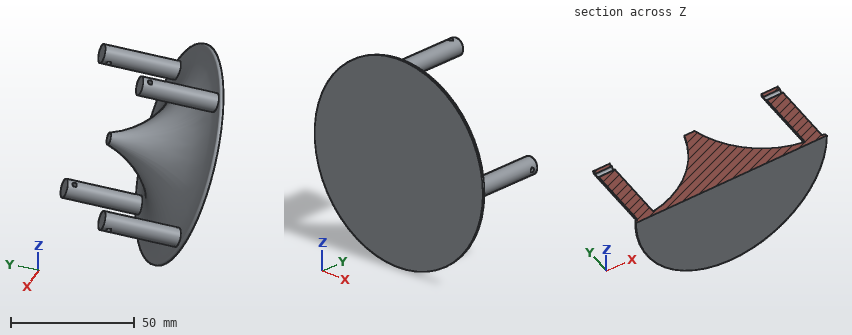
import cadquery as cq
import math

DISC_DIAMETER = 92.0
DISC_THICKNESS = 1.5
RIM_FILLET_RADIUS = 0.75

POST_DIAMETER = 8.0
POST_LENGTH = 33.0
POST_CIRCLE_RADIUS = 40.5
POST_COUNT = 4

CROSS_HOLE_DIAMETER = 2.0
CROSS_HOLE_END_DISTANCE = 3.0

HORN_HEIGHT = 30.0
HORN_TIP_DIAMETER = 5.0
HORN_BASE_RADIUS = 43.0


def make_disc():
    """Round plate with its inner face on Y = 0 and its inner rim rounded."""
    plate = cq.Workplane("XZ").circle(DISC_DIAMETER / 2).extrude(DISC_THICKNESS)
    return plate.faces(">Y").edges().fillet(RIM_FILLET_RADIUS)


def make_horn():
    """Solid of revolution about Y that narrows from the disc to a flat tip."""
    tip_radius = HORN_TIP_DIAMETER / 2
    radial_run = HORN_BASE_RADIUS - tip_radius
    flank_radius = (radial_run**2 + HORN_HEIGHT**2) / (2 * HORN_HEIGHT)
    half_sweep = math.atan2(HORN_HEIGHT, radial_run)
    flank_middle = (
        HORN_BASE_RADIUS - flank_radius * math.sin(half_sweep),
        flank_radius * (1 - math.cos(half_sweep)),
    )
    return (
        cq.Workplane("XY")
        .moveTo(0, -DISC_THICKNESS)
        .lineTo(HORN_BASE_RADIUS, -DISC_THICKNESS)
        .lineTo(HORN_BASE_RADIUS, 0)
        .threePointArc(flank_middle, (tip_radius, HORN_HEIGHT))
        .lineTo(0, HORN_HEIGHT)
        .close()
        .revolve(360, (0, 0, 0), (0, 1, 0))
    )


def make_post():
    """Post on the +X side of the disc, before drilling."""
    return (
        cq.Workplane("XZ", origin=(POST_CIRCLE_RADIUS, -DISC_THICKNESS, 0))
        .circle(POST_DIAMETER / 2)
        .extrude(-(DISC_THICKNESS + POST_LENGTH))
    )


def make_cross_hole():
    """Cutter for the radial hole through the post on the +X side."""
    start = POST_CIRCLE_RADIUS - POST_DIAMETER / 2
    height = POST_LENGTH - CROSS_HOLE_END_DISTANCE
    return (
        cq.Workplane("YZ", origin=(start, height, 0))
        .circle(CROSS_HOLE_DIAMETER / 2)
        .extrude(POST_DIAMETER)
    )


drilled_post = make_post().cut(make_cross_hole())

result = make_disc().union(make_horn())
for index in range(POST_COUNT):
    angle = index * 360 / POST_COUNT
    result = result.union(drilled_post.rotate((0, 0, 0), (0, 1, 0), angle))